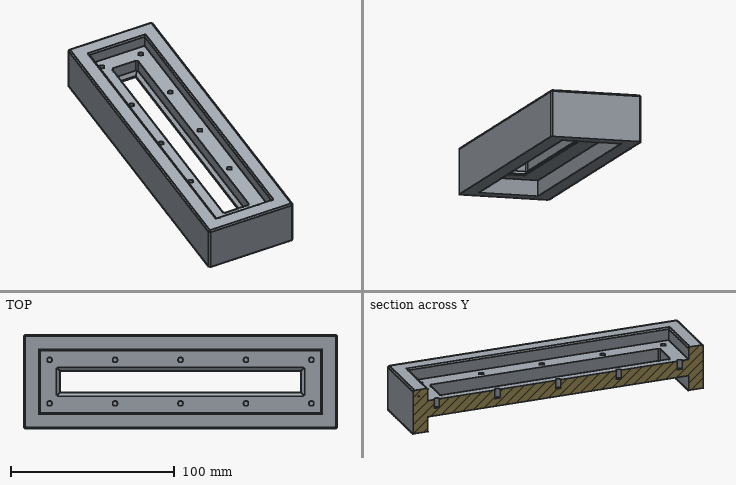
import cadquery as cq

length = 191.0
width = 57.5
height = 29.0
edge_chamfer = 1.0

rim_width = 10.0
pocket_length = length - 2 * rim_width
pocket_width = width - 2 * rim_width
top_pocket_depth = 8.2
bottom_pocket_depth = 9.7
web_top = height - top_pocket_depth

window_length = 151.3
window_width = 17.5
window_corner_chamfer = 1.0
window_wall_depth = 8.0
slope_run = 2.3
slope_drop = 2.1
opening_length = window_length - 2 * slope_run
opening_width = window_width - 2 * slope_run

hole_diameter = 3.0
hole_depth = 5.7
hole_columns = 5
hole_rows = 2
hole_pitch_x = 40.0
hole_pitch_y = 26.5


def block(size_x, size_y, bottom, top):
    """Centred rectangular block between two heights."""
    return (
        cq.Workplane("XY")
        .workplane(offset=bottom)
        .rect(size_x, size_y)
        .extrude(top - bottom)
    )


def frame():
    """Outer block with chamfered uprights and top rim."""
    body = block(length, width, 0, height)
    return body.edges("|Z").chamfer(edge_chamfer).faces(">Z").edges().chamfer(edge_chamfer)


def top_pocket():
    """Upper pocket that flares out at the rim."""
    mouth_length = pocket_length + 2 * edge_chamfer
    mouth_width = pocket_width + 2 * edge_chamfer
    flare = (
        cq.Workplane("XY")
        .workplane(offset=height - edge_chamfer)
        .rect(pocket_length, pocket_width)
        .workplane(offset=edge_chamfer)
        .rect(mouth_length, mouth_width)
        .loft(ruled=True)
    )
    return block(pocket_length, pocket_width, web_top, height).union(flare)


def window():
    """Upright-walled window that slopes in to a smaller through opening."""
    slope_top = web_top - window_wall_depth
    slope_bottom = slope_top - slope_drop
    upper = block(window_length, window_width, slope_top, web_top)
    upper = upper.edges("|Z").chamfer(window_corner_chamfer)
    slope = (
        cq.Workplane("XY")
        .workplane(offset=slope_bottom)
        .rect(opening_length, opening_width)
        .workplane(offset=slope_drop)
        .rect(window_length, window_width)
        .loft(ruled=True)
    )
    corner_limit = block(window_length, window_width, slope_bottom, slope_top)
    slope = slope.intersect(corner_limit.edges("|Z").chamfer(window_corner_chamfer))
    through = block(opening_length, opening_width, 0, slope_top)
    return upper.union(slope).union(through)


def screw_holes():
    """Grid of blind holes sunk from the top of the web."""
    return (
        cq.Workplane("XY")
        .workplane(offset=web_top)
        .rarray(hole_pitch_x, hole_pitch_y, hole_columns, hole_rows)
        .circle(hole_diameter / 2)
        .extrude(-hole_depth)
    )


bottom_pocket = block(pocket_length, pocket_width, 0, bottom_pocket_depth)

result = frame().cut(top_pocket()).cut(bottom_pocket).cut(window()).cut(screw_holes())